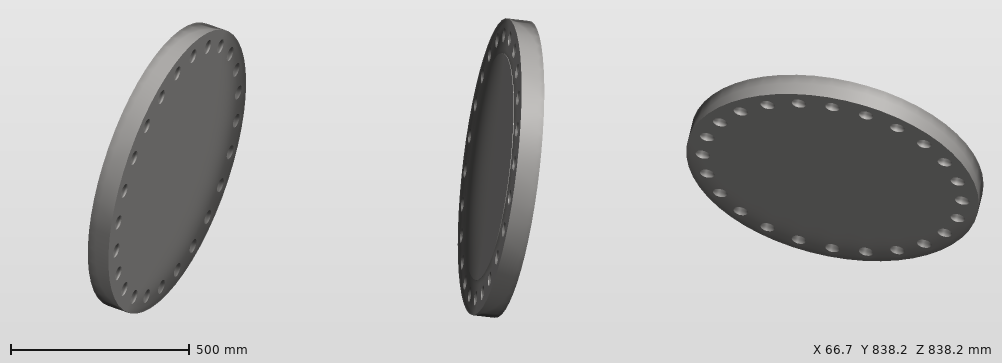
import cadquery as cq

flange_diameter = 838.2
overall_thickness = 66.67
raised_face_height = 1.588
raised_face_diameter = 641.35
bolt_circle_diameter = 742.95
bolt_hole_diameter = 41.275
bolt_count = 24

disc_thickness = overall_thickness - raised_face_height


def make_disc():
    """Plain round disc whose front face lies on the raised face shoulder."""
    return (
        cq.Workplane("YZ")
        .workplane(offset=raised_face_height)
        .circle(flange_diameter / 2)
        .extrude(disc_thickness)
    )


def make_raised_face():
    """Low round sealing pad on the -X side of the disc."""
    return cq.Workplane("YZ").circle(raised_face_diameter / 2).extrude(raised_face_height)


def make_bolt_holes():
    """Through holes evenly spaced on the bolt circle, the first one on the Y axis."""
    return (
        cq.Workplane("YZ")
        .polarArray(bolt_circle_diameter / 2, 0, 360, bolt_count)
        .circle(bolt_hole_diameter / 2)
        .extrude(overall_thickness)
    )


result = make_disc().union(make_raised_face()).cut(make_bolt_holes())